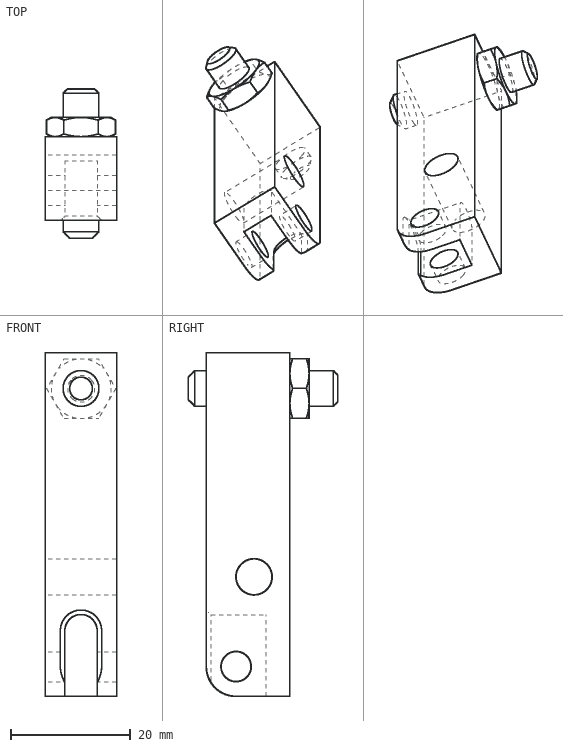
import cadquery as cq
import math

BLOCK_WIDTH = 12.0
BLOCK_DEPTH = 14.0
BLOCK_HEIGHT = 57.5
TOE_RADIUS = 5.0

PIVOT_HOLE_DIAMETER = 5.0
PIVOT_HOLE_CENTER = (TOE_RADIUS, TOE_RADIUS)
UPPER_HOLE_DIAMETER = 6.0
UPPER_HOLE_CENTER = (8.0, 20.0)

SLOT_WIDTH = 5.4
SLOT_ARC_CENTER_Z = 11.0
SLOT_DEPTH = 2 * TOE_RADIUS
SLOT_CHAMFER = 0.75

STUD_DIAMETER = 6.0
STUD_AXIS_Z = BLOCK_HEIGHT - 6.0
STUD_FRONT_LENGTH = 3.0
STUD_REAR_LENGTH = 8.0
FRONT_TIP_CHAMFER = 1.1
REAR_TIP_CHAMFER = 0.75

NUT_ACROSS_FLATS = 10.0
NUT_THICKNESS = 3.2
NUT_CHAMFER_ANGLE = 30.0
HEXAGON_SIDES = 6


def cross_hole(diameter, center):
    """Cylinder along X through the full block width."""
    return (
        cq.Workplane("YZ", origin=(-BLOCK_WIDTH / 2, 0, 0))
        .center(*center)
        .circle(diameter / 2)
        .extrude(BLOCK_WIDTH)
    )


def slot_outline(half_width):
    """Wire of the slot on the front plane, with a semicircular top."""
    return (
        cq.Workplane("XZ")
        .moveTo(-half_width, 0)
        .lineTo(-half_width, SLOT_ARC_CENTER_Z)
        .threePointArc((0, SLOT_ARC_CENTER_Z + half_width), (half_width, SLOT_ARC_CENTER_Z))
        .lineTo(half_width, 0)
        .close()
    )


def make_slot():
    """Slot cutter with a 45 degree chamfered mouth that narrows from the front face inwards."""
    half_width = SLOT_WIDTH / 2
    mouth_half_width = half_width + SLOT_CHAMFER
    straight_slot = slot_outline(half_width).extrude(-SLOT_DEPTH)
    front_wire = slot_outline(mouth_half_width).val()
    inner_wire = slot_outline(half_width).val().translate(cq.Vector(0, SLOT_CHAMFER, 0))
    mouth = cq.Workplane(obj=cq.Solid.makeLoft([front_wire, inner_wire], True))
    return straight_slot.union(mouth)


def make_block():
    """Rectangular block with a rounded lower front edge, slot and cross holes."""
    block = (
        cq.Workplane("XY")
        .box(BLOCK_WIDTH, BLOCK_DEPTH, BLOCK_HEIGHT, centered=(True, False, False))
        .edges("<Y and <Z")
        .fillet(TOE_RADIUS)
    )
    return (
        block.cut(make_slot())
        .cut(cross_hole(PIVOT_HOLE_DIAMETER, PIVOT_HOLE_CENTER))
        .cut(cross_hole(UPPER_HOLE_DIAMETER, UPPER_HOLE_CENTER))
    )


def revolve_about_stud_axis(profile):
    """Solid of revolution from (radius, Y) points, turned about the stud axis."""
    return (
        cq.Workplane("XY", origin=(0, 0, STUD_AXIS_Z))
        .polyline(profile)
        .close()
        .revolve(360, (0, 0, 0), (0, 1, 0))
    )


def make_stud():
    """Round stud with a 45 degree chamfer at each end."""
    radius = STUD_DIAMETER / 2
    front_end = -STUD_FRONT_LENGTH
    rear_end = BLOCK_DEPTH + STUD_REAR_LENGTH
    return revolve_about_stud_axis([
        (0, front_end),
        (radius - FRONT_TIP_CHAMFER, front_end),
        (radius, front_end + FRONT_TIP_CHAMFER),
        (radius, rear_end - REAR_TIP_CHAMFER),
        (radius - REAR_TIP_CHAMFER, rear_end),
        (0, rear_end),
    ])


def make_nut():
    """Hexagon nut with corners along X, chamfered conically on both faces."""
    flat_radius = NUT_ACROSS_FLATS / 2
    corner_radius = flat_radius / math.cos(math.pi / HEXAGON_SIDES)
    chamfer_height = (corner_radius - flat_radius) * math.tan(math.radians(NUT_CHAMFER_ANGLE))
    rear_face = BLOCK_DEPTH + NUT_THICKNESS
    hexagon = (
        cq.Workplane("XZ", origin=(0, BLOCK_DEPTH, STUD_AXIS_Z))
        .polygon(HEXAGON_SIDES, 2 * corner_radius)
        .extrude(-NUT_THICKNESS)
    )
    chamfer_envelope = revolve_about_stud_axis([
        (0, BLOCK_DEPTH),
        (flat_radius, BLOCK_DEPTH),
        (corner_radius, BLOCK_DEPTH + chamfer_height),
        (corner_radius, rear_face - chamfer_height),
        (flat_radius, rear_face),
        (0, rear_face),
    ])
    return hexagon.intersect(chamfer_envelope)


result = make_block().union(make_stud()).union(make_nut())